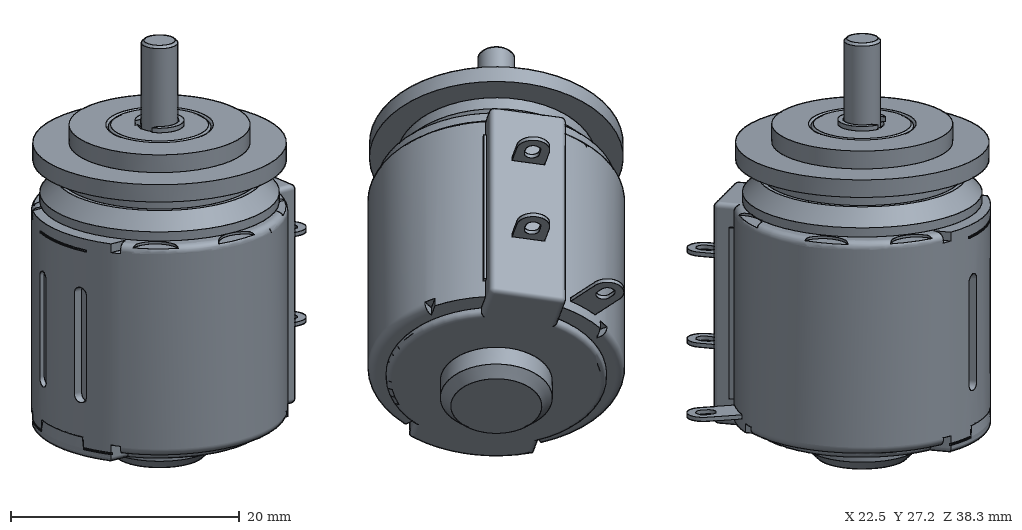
import cadquery as cq
import math

total_height = 38.3
clip_top = 30.87
hub_top = 30.45
flange_top = 28.8
flange_bottom = 27.2
cone_top = 25.7
cone_bottom = 24.2
collar_bottom = 23.35
housing_top = 23.05
housing_bottom = 3.55
cap_bottom = 2.75
rear_boss_chamfer = 0.92

shaft_radius = 1.6
hub_radius = 7.93
flange_radius = 11.1
neck_radius = 8.75
cone_top_radius = 9.1
collar_radius = 10.5
spigot_radius = 7.3
housing_diameter = 22.5
housing_radius = housing_diameter / 2
cap_radius = 9.65
rear_boss_radius = 4.9

shaft_chamfer = 0.23
housing_round = 0.7
cap_round = 0.45

groove_outer_radius = 4.7
groove_inner_radius = 4.3
groove_depth = 0.2
shaft_recess_radius = 1.9
shaft_recess_depth = 0.3

clip_radius = 2.15
clip_bore_radius = 1.7
clip_opening = 2.37

front_zone_half_width = 5.55
rear_zone_half_width = 7.43
notch_width = 0.73
notch_height = 0.8

rim_flat_depth = 0.23
rim_flat_radius = 2.3
rim_flat_centre = 12.05
rim_flat_angles = (-40, 0, 50, 130, 180, 220)

slot_offset = 2.65
slot_width = 1.3
slot_bottom = 7.77
slot_top = 18.45
slot_floor = 10.25

line_groove_length = 6.45
line_groove_height = 0.15
line_groove_middle = 21.95
line_groove_depth = 0.08
window_top = 4.6
window_top_half_width = 2.87
window_bottom_half_width = 3.0
window_depth = 0.15
seam_height = 0.15
seam_depth = 0.1

block_half_width = 3.4
block_back = 12.65
block_round = 0.45
rib_half_width = 3.65
rib_back = 11.05
rib_bottom = 5.3
rib_top = 21.0

tab_radius = 1.45
tab_thickness = 0.4
overall_depth = 27.2
tab_reach = overall_depth - housing_radius
side_tab_reach = 15.75
side_tab_angle = 30
tab_hole_width = 1.35
tab_hole_length = 1.8
tab_hole_setback = 1.7
block_tab_heights = (9.05, 17.4)
side_tab_height = 4.6


def cylinder(radius, bottom, top):
    return cq.Workplane("XY").workplane(offset=bottom).circle(radius).extrude(top - bottom)


def block(x_min, x_max, y_min, y_max, z_min, z_max):
    size = (x_max - x_min, y_max - y_min, z_max - z_min)
    return cq.Workplane("XY").box(*size, centered=False).translate((x_min, y_min, z_min))


def turned_front():
    """Spigot, collar, cone, neck, flange, hub and shaft as one revolved profile."""
    half_profile = [
        (0, housing_top - housing_round),
        (spigot_radius, housing_top - housing_round),
        (spigot_radius, collar_bottom),
        (collar_radius, collar_bottom),
        (collar_radius, cone_bottom),
        (cone_top_radius, cone_top),
        (neck_radius, cone_top),
        (neck_radius, flange_bottom),
        (flange_radius, flange_bottom),
        (flange_radius, flange_top),
        (hub_radius, flange_top),
        (hub_radius, hub_top),
        (groove_outer_radius, hub_top),
        ((groove_outer_radius + groove_inner_radius) / 2, hub_top - groove_depth),
        (groove_inner_radius, hub_top),
        (shaft_recess_radius, hub_top),
        (shaft_radius, hub_top - shaft_recess_depth),
        (shaft_radius, total_height - shaft_chamfer),
        (shaft_radius - shaft_chamfer, total_height),
        (0, total_height),
    ]
    return cq.Workplane("XZ").polyline(half_profile).close().revolve(360, (0, 0), (0, 1))


def retaining_clip():
    clip = cylinder(clip_radius, hub_top - shaft_recess_depth, clip_top)
    opening = block(
        -clip_opening / 2, clip_opening / 2, -2 * clip_radius, 0, hub_top - shaft_recess_depth, clip_top
    )
    bore = cylinder(clip_bore_radius, hub_top, clip_top)
    return clip.cut(opening).cut(bore)


def housing():
    """Rounded can with square-edged zones at the front and at the lower rear."""
    can = cylinder(housing_radius, housing_bottom, housing_top)
    front_zone = can.intersect(
        block(
            -front_zone_half_width, front_zone_half_width,
            -housing_radius, 0,
            housing_bottom, housing_top,
        )
    )
    rear_zone = can.intersect(
        block(
            -rear_zone_half_width, rear_zone_half_width,
            0, housing_radius,
            housing_bottom, (housing_bottom + housing_top) / 2,
        )
    )
    body = can.edges().fillet(housing_round)
    body = cut_rim_flats(body)
    body = body.union(front_zone).union(rear_zone)
    for bottom in (housing_bottom, housing_top - notch_height):
        body = body.cut(relief_notches(front_zone_half_width, -1, bottom))
    return body.cut(relief_notches(rear_zone_half_width, 1, housing_bottom))


def relief_notches(zone_half_width, y_side, bottom):
    """Pair of wedges in the rim, each between a zone's flat end and a radial wall."""
    outer_x = zone_half_width + notch_width
    outer_y = math.sqrt(housing_radius**2 - outer_x**2)
    inner_y = outer_y * zone_half_width / outer_x
    outline = [
        (zone_half_width, y_side * inner_y),
        (outer_x, y_side * outer_y),
        (outer_x, y_side * housing_radius),
        (zone_half_width, y_side * housing_radius),
    ]
    right = cq.Workplane("XY").workplane(offset=bottom).polyline(outline).close().extrude(notch_height)
    return right.union(right.mirror("YZ"))


def cut_rim_flats(body):
    """Shallow round-sided flats cut into the edge of the top rim."""
    flat = cylinder(rim_flat_radius, housing_top - rim_flat_depth, housing_top)
    flat = flat.translate((rim_flat_centre, 0, 0))
    for angle in rim_flat_angles:
        body = body.cut(flat.rotate((0, 0, 0), (0, 0, 1), angle))
    return body


def end_cap():
    """Rear cap: a disc with a full-radius lobe at the front, rounded underneath."""
    lobe = cylinder(housing_radius, cap_bottom, housing_bottom).intersect(
        block(
            -front_zone_half_width, front_zone_half_width,
            -housing_radius, 0,
            cap_bottom, housing_bottom,
        )
    )
    cap = cylinder(cap_radius, cap_bottom, housing_bottom).union(lobe)
    return cap.faces("<Z").edges().fillet(cap_round)


def rear_boss():
    boss = cylinder(rear_boss_radius, 0, housing_bottom)
    return boss.faces("<Z").edges().chamfer(rear_boss_chamfer)


def terminal_block():
    tower = block(-block_half_width, block_half_width, 0, block_back, cap_bottom, housing_top)
    tower = tower.edges("not <Y").fillet(block_round)
    rib = block(-rib_half_width, rib_half_width, 0, rib_back, rib_bottom, rib_top)
    return tower.union(rib)


def terminal_tab(reach, bottom):
    """Round-ended tab pointing along +Y, with an oblong hole near its tip."""
    tip_centre = reach - tab_radius
    root = housing_radius - 2 * tab_radius
    tab = (
        cq.Workplane("XY")
        .workplane(offset=bottom)
        .moveTo(-tab_radius, root)
        .lineTo(-tab_radius, tip_centre)
        .threePointArc((0, reach), (tab_radius, tip_centre))
        .lineTo(tab_radius, root)
        .close()
        .extrude(tab_thickness)
    )
    hole = (
        cq.Workplane("XY")
        .workplane(offset=bottom)
        .center(0, reach - tab_hole_setback)
        .slot2D(tab_hole_length, tab_hole_width, 90)
        .extrude(tab_thickness)
    )
    return tab.cut(hole)


def front_slots():
    return (
        cq.Workplane("XZ", origin=(0, -slot_floor, 0))
        .pushPoints([(side * slot_offset, (slot_bottom + slot_top) / 2) for side in (-1, 1)])
        .slot2D(slot_top - slot_bottom, slot_width, 90)
        .extrude(housing_radius)
    )


def front_groove(half_length, middle, height, depth):
    """Groove along the front of the can, following its curve."""
    bottom = middle - height / 2
    top = middle + height / 2
    ring = cylinder(housing_radius, bottom, top).cut(cylinder(housing_radius - depth, bottom, top))
    return ring.intersect(block(-half_length, half_length, -housing_radius, 0, bottom, top))


def front_window():
    """Window whose floor slopes back from the lower rim to its deepest at the top."""
    opening = (
        cq.Workplane("XZ")
        .polyline(
            [
                (-window_bottom_half_width, housing_bottom),
                (-window_top_half_width, window_top),
                (window_top_half_width, window_top),
                (window_bottom_half_width, housing_bottom),
            ]
        )
        .close()
        .extrude(housing_radius)
    )
    sloped_floor = (
        cq.Workplane("XZ")
        .polyline(
            [
                (0, housing_bottom),
                (housing_radius, housing_bottom),
                (housing_radius - window_depth, window_top),
                (0, window_top),
            ]
        )
        .close()
        .revolve(360, (0, 0), (0, 1))
    )
    return opening.cut(sloped_floor)


def cap_seam():
    """Seam between can and cap on both sides of the window."""
    seam = front_groove(front_zone_half_width, housing_bottom, seam_height, seam_depth)
    window_gap = front_groove(window_bottom_half_width, housing_bottom, seam_height, seam_depth)
    return seam.cut(window_gap)


upper_groove = front_groove(
    line_groove_length / 2, line_groove_middle, line_groove_height, line_groove_depth
)
result = housing().union(end_cap()).union(rear_boss())
result = result.cut(front_slots()).cut(upper_groove)
result = result.cut(front_window()).cut(cap_seam())
result = result.union(turned_front()).union(retaining_clip())
result = result.union(terminal_block())
for tab_height in block_tab_heights:
    result = result.union(terminal_tab(tab_reach, tab_height))
side_tab = terminal_tab(side_tab_reach, side_tab_height)
result = result.union(side_tab.rotate((0, 0, 0), (0, 0, 1), side_tab_angle))